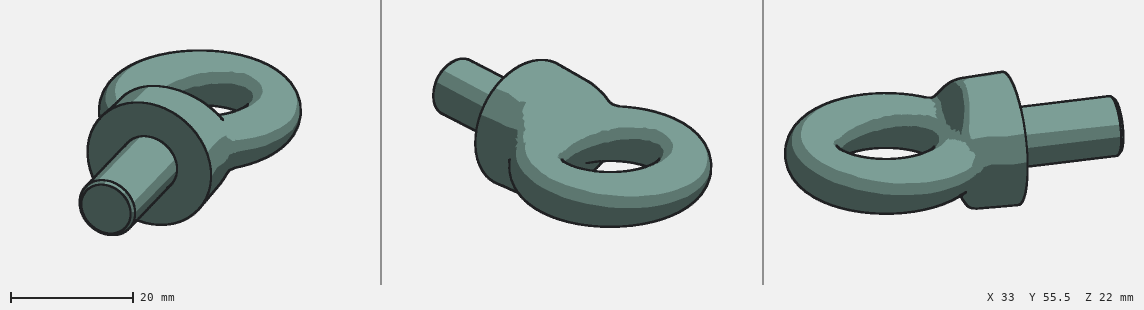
import cadquery as cq
import math

overall_length = 55.5
ring_outer_radius = 16.51
bar_radius = 4.5
shank_radius = 4.95
shank_length = 18.0
tip_chamfer = 0.55
collar_radius = 11.0
collar_taper = 2.0
roof_angle = 25.6
roof_ridge_height = 12.95
roof_edge_radius = 2.0
blend_radius = 2.5
tolerance = 0.3

collar_wall_height = roof_ridge_height - collar_radius * math.tan(math.radians(roof_angle))
ring_radius = ring_outer_radius - bar_radius
ring_center_height = overall_length - shank_length - ring_outer_radius


def make_ring():
    """Round bar bent into a closed ring lying in the XY plane."""
    ring = cq.Solid.makeTorus(ring_radius, bar_radius)
    return cq.Workplane(ring).translate((0, ring_center_height, 0))


def make_collar():
    """Slightly tapered round collar, cut by two roof faces and rounded at their rims."""
    top_radius = collar_radius - roof_ridge_height * math.tan(math.radians(collar_taper))
    cone = cq.Workplane(
        cq.Solid.makeCone(
            collar_radius, top_radius, roof_ridge_height, pnt=cq.Vector(0, 0, 0), dir=cq.Vector(0, 1, 0)
        )
    )
    house = (
        cq.Workplane("YZ")
        .moveTo(0, -collar_radius)
        .lineTo(collar_wall_height, -collar_radius)
        .lineTo(roof_ridge_height, 0)
        .lineTo(collar_wall_height, collar_radius)
        .lineTo(0, collar_radius)
        .close()
        .extrude(collar_radius, both=True)
    )
    return cone.intersect(house).edges("%ELLIPSE").fillet(roof_edge_radius)


def make_shank():
    """Plain round shank with a chamfered tip."""
    shank = cq.Workplane("XZ").circle(shank_radius).extrude(shank_length)
    return shank.faces("<Y").chamfer(tip_chamfer)


def blend_ring_into_collar(ring, collar):
    """Join the ring and collar and round the inside corner where they meet."""
    joined = collar.union(ring)
    half_height = bar_radius + tolerance
    corner = cq.selectors.BoxSelector(
        (-collar_radius, collar_wall_height, -half_height),
        (collar_radius, roof_ridge_height, half_height),
    )
    return joined.edges(corner).fillet(blend_radius)


result = blend_ring_into_collar(make_ring(), make_collar()).union(make_shank())